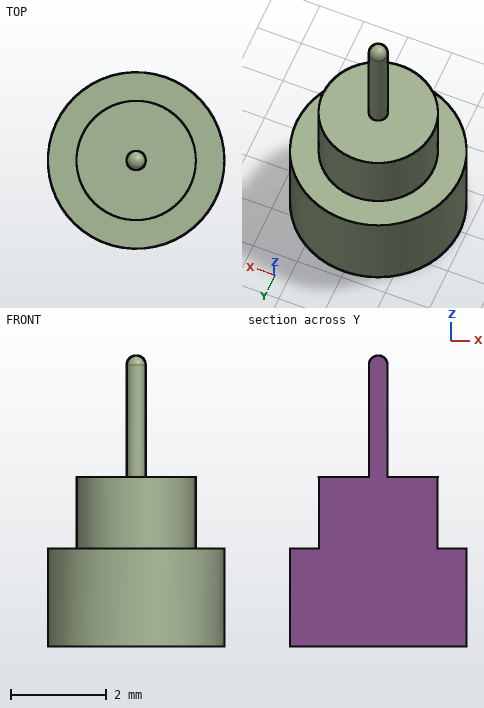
import cadquery as cq

total_height = 6.1
base_diameter = 3.7
base_height = 2.055
collar_diameter = 2.5
collar_height = 1.5
pin_diameter = 0.4

pin_radius = pin_diameter / 2
pin_base_z = base_height + collar_height
pin_straight_length = total_height - pin_base_z - pin_radius


def cylinder(diameter, height, bottom_z):
    """Upright cylinder on the Z axis, standing at bottom_z."""
    return cq.Workplane("XY").workplane(offset=bottom_z).circle(diameter / 2).extrude(height)


def round_ended_pin():
    """Thin contact pin with a hemispherical tip."""
    shank = cylinder(pin_diameter, pin_straight_length, pin_base_z)
    tip_center_z = pin_base_z + pin_straight_length
    tip = cq.Workplane("XY").sphere(pin_radius).translate((0, 0, tip_center_z))
    return shank.union(tip)


base = cylinder(base_diameter, base_height, 0)
collar = cylinder(collar_diameter, collar_height, base_height)

result = base.union(collar).union(round_ended_pin())